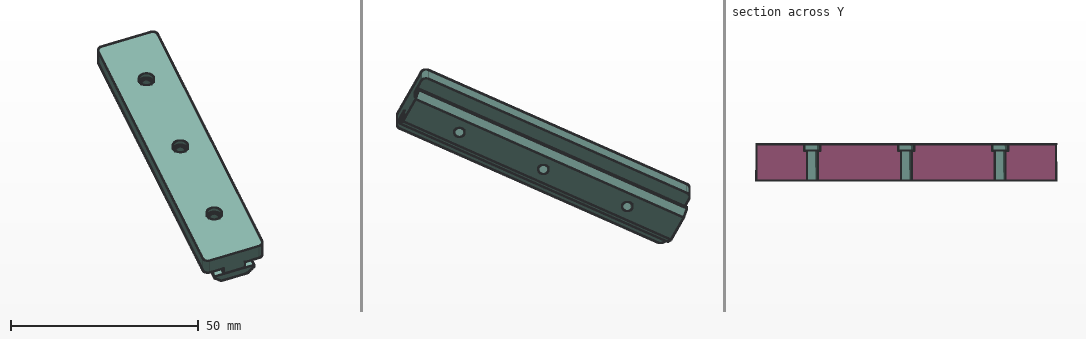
import cadquery as cq

length = 80.0
width = 17.0
height = 9.8

slab_thickness = 5.0
stem_width = 6.0
flange_width = 11.4
flange_thickness = 2.6
flange_chamfer = 1.9
corner_radius = 1.4
flange_overhang = 0.1

hole_count = 3
hole_pitch = 25.0
hole_diameter = 2.8
counterbore_diameter = 4.2
counterbore_depth = 1.8


def bar(bar_length, bar_width, bottom, top):
    """Rectangular bar between two heights, starting at the common -X end face."""
    return cq.Workplane("XY").box(
        bar_length, bar_width, top - bottom, centered=(False, True, False)
    ).translate((-length / 2, 0, bottom))


slab_bottom = height - slab_thickness
slab_length = length - flange_overhang

slab = bar(slab_length, width, slab_bottom, height).edges("|Z").fillet(corner_radius)

stem = bar(slab_length, stem_width, flange_thickness, slab_bottom)
flange = bar(length, flange_width, 0, flange_thickness)
flange = flange.faces("<Z").edges("|X").chamfer(flange_chamfer)

body = slab.union(stem).union(flange)

result = (
    body.faces(">Z")
    .workplane(origin=(0, 0, height))
    .rarray(hole_pitch, 0.8, hole_count, 1)
    .cboreHole(hole_diameter, counterbore_diameter, counterbore_depth)
)